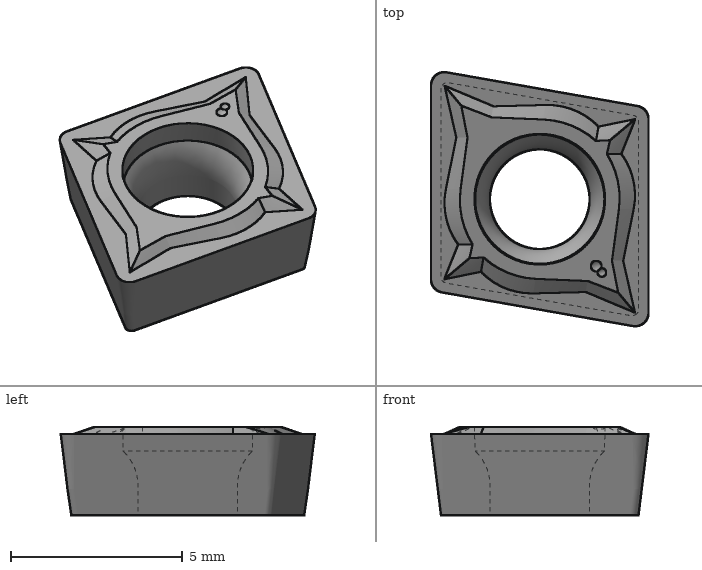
import cadquery as cq
import math

inscribed_diameter = 6.35
rhombus_skew = 10.0
relief_angle = 7.0
corner_radius = 0.39
rake_height = 2.38
total_height = 2.58
corner_break_height = 0.765

throat_diameter = 2.9
seat_diameter = 3.77
mouth_diameter = 3.815
seat_height = 1.88
throat_height = 0.87

acute_foot_reach = 4.32
acute_crest_reach = 3.56
obtuse_foot_reach = 3.635
obtuse_crest_reach = 2.68
waist_y = 1.795
bulge_start_y = 0.3
bulge_end_y = -1.32
foot_x = (-2.435, -2.74, -2.38)
crest_x = (-2.11, -2.31, -1.96)

dimples = ((1.65, -1.95, 0.155), (1.81, -2.14, 0.125))
dimple_depth = 0.06

skew = math.radians(rhombus_skew)


def body_section(z, radius):
    """Rounded rhombus wire at height z."""
    inset = (rake_height - z) * math.tan(math.radians(relief_angle))
    centre_x = inscribed_diameter / 2 - inset - radius
    rise = centre_x / math.cos(skew)
    lean = centre_x * math.tan(skew)
    centres = (
        (centre_x, rise - lean),
        (-centre_x, rise + lean),
        (-centre_x, -rise + lean),
        (centre_x, -rise - lean),
    )
    normals = (0, 90 - rhombus_skew, 180, 270 - rhombus_skew, 360)

    def on_corner(centre, degrees):
        angle = math.radians(degrees)
        return cq.Vector(centre[0] + radius * math.cos(angle), centre[1] + radius * math.sin(angle), z)

    edges = []
    for i, centre in enumerate(centres):
        start, end = normals[i], normals[i + 1]
        arc_end = on_corner(centre, end)
        middle = on_corner(centre, (start + end) / 2)
        edges.append(cq.Edge.makeThreePointArc(on_corner(centre, start), middle, arc_end))
        edges.append(cq.Edge.makeLine(arc_end, on_corner(centres[(i + 1) % 4], end)))
    return cq.Wire.assembleEdges(edges)


def ruled_solid(lower, upper):
    return cq.Solid.makeLoft([lower, upper], True)


def make_body():
    break_inset = (rake_height - corner_break_height) * math.tan(math.radians(relief_angle))
    lower_radius = corner_radius - break_inset
    break_section = body_section(corner_break_height, lower_radius)
    lower = ruled_solid(body_section(0, lower_radius), break_section)
    upper = ruled_solid(break_section, body_section(rake_height, corner_radius))
    return cq.Workplane(lower).union(cq.Workplane(upper))


def mirrored(point):
    """Reflect a point across the diagonal through the acute corners."""
    double_angle = math.radians(270 - rhombus_skew)
    x, y = point
    return (
        x * math.cos(double_angle) + y * math.sin(double_angle),
        x * math.sin(double_angle) - y * math.cos(double_angle),
    )


def bulge_middle(before, start, end):
    """Midpoint of the arc from start to end that leaves tangent to before-start."""
    chord = math.atan2(end[1] - start[1], end[0] - start[0])
    arrival = math.atan2(start[1] - before[1], start[0] - before[0])
    half_turn = chord - arrival
    reach = math.dist(start, end) / 2 / math.cos(half_turn / 2)
    direction = chord - half_turn / 2
    return (start[0] + reach * math.cos(direction), start[1] + reach * math.sin(direction))


def half_turned(points):
    return [(-x, -y) for x, y in points]


def breaker_outline(acute_reach, obtuse_reach, waist_and_bulge_x, z):
    """Closed outline of the chip breaker at height z, built from one side and its reflections."""
    diagonal = math.radians(45 - rhombus_skew / 2)
    acute = (-acute_reach * math.sin(diagonal), acute_reach * math.cos(diagonal))
    obtuse = (-obtuse_reach * math.cos(diagonal), -obtuse_reach * math.sin(diagonal))
    waist_x, start_x, end_x = waist_and_bulge_x
    waist = (waist_x, waist_y)
    start = (start_x, bulge_start_y)
    end = (end_x, bulge_end_y)
    middle = bulge_middle(waist, start, end)

    toward_obtuse = [acute, waist, start, middle, end, obtuse]
    toward_acute = half_turned(mirrored(point) for point in reversed(toward_obtuse))

    def half_outline(sketch, first, second):
        sketch = sketch.lineTo(*first[1]).lineTo(*first[2]).threePointArc(first[3], first[4])
        sketch = sketch.lineTo(*first[5]).lineTo(*second[1])
        return sketch.threePointArc(second[2], second[3]).lineTo(*second[4])

    outline = cq.Workplane("XY", origin=(0, 0, z)).moveTo(*acute)
    outline = half_outline(outline, toward_obtuse, toward_acute).lineTo(*toward_acute[5])
    outline = half_outline(outline, half_turned(toward_obtuse), half_turned(toward_acute))
    return outline.close().val()


def make_raised_centre():
    foot = breaker_outline(acute_foot_reach, obtuse_foot_reach, foot_x, rake_height)
    crest = breaker_outline(acute_crest_reach, obtuse_crest_reach, crest_x, total_height)
    return cq.Workplane(ruled_solid(foot, crest))


def make_hole():
    throat_radius = throat_diameter / 2
    seat_radius = seat_diameter / 2
    step = seat_radius - throat_radius
    drop = seat_height - throat_height
    bell_radius = (step**2 + drop**2) / (2 * step)
    half_sweep = math.asin(drop / bell_radius) / 2
    bell_middle = (
        throat_radius + bell_radius * (1 - math.cos(half_sweep)),
        throat_height + bell_radius * math.sin(half_sweep),
    )
    return (
        cq.Workplane("XZ")
        .lineTo(throat_radius, 0)
        .lineTo(throat_radius, throat_height)
        .threePointArc(bell_middle, (seat_radius, seat_height))
        .lineTo(mouth_diameter / 2, total_height)
        .lineTo(0, total_height)
        .close()
        .revolve(360, (0, 0), (0, 1))
    )


def make_dimple(x, y, rim_radius):
    ball_radius = (rim_radius**2 + dimple_depth**2) / (2 * dimple_depth)
    ball_z = total_height - dimple_depth + ball_radius
    return cq.Workplane("XY", origin=(x, y, ball_z)).sphere(ball_radius)


result = make_body().union(make_raised_centre()).cut(make_hole())
for dimple in dimples:
    result = result.cut(make_dimple(*dimple))